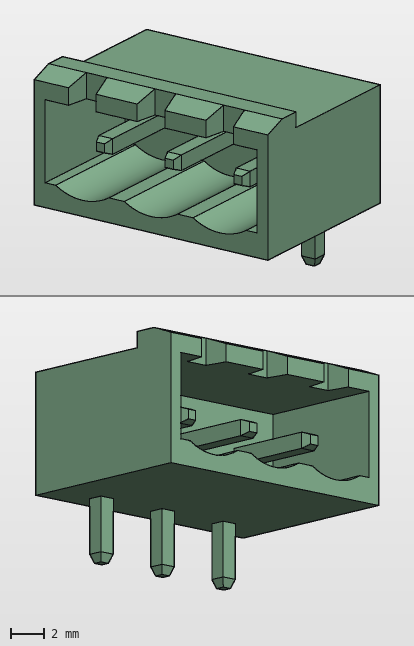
import cadquery as cq

width = 17.0
depth = 12.0
rear_height = 7.6
lip_height = 8.6
lip_depth = 3.03
bevel_depth = 1.53
bevel_drop = 0.56

pitch = 5.0
contact_count = 3
contact_xs = [(i - (contact_count - 1) / 2) * pitch for i in range(contact_count)]

side_wall = 0.8
cavity_depth = 8.5
cavity_floor = 1.6
cavity_ceiling = 6.92
trough_width = 3.88
trough_depth = 0.56

notch_front_width = 2.0
notch_back_width = 1.51

pin_size = 1.0
tip_size = 0.6
tip_length = 0.56
pin_height = 3.82
pin_front = 1.94
tail_length = 4.0
tail_from_rear = 2.04


def make_housing():
    """Extruded side profile with a raised, bevelled front lip."""
    profile = [
        (0, 0),
        (depth, 0),
        (depth, rear_height),
        (lip_depth, rear_height),
        (lip_depth, lip_height),
        (bevel_depth, lip_height),
        (0, lip_height - bevel_drop),
    ]
    return cq.Workplane("YZ").polyline(profile).close().extrude(width / 2, both=True)


def make_cavity():
    """Rectangular opening whose floor has a circular-arc trough below each contact."""
    half_width = width / 2 - side_wall
    outline = cq.Workplane("XZ").moveTo(-half_width, cavity_ceiling).lineTo(-half_width, cavity_floor)
    for x in contact_xs:
        outline = outline.lineTo(x - trough_width / 2, cavity_floor).threePointArc(
            (x, cavity_floor - trough_depth), (x + trough_width / 2, cavity_floor)
        )
    outline = outline.lineTo(half_width, cavity_floor).lineTo(half_width, cavity_ceiling)
    return outline.close().extrude(-cavity_depth)


def make_notch(x):
    """Vertical notch, narrowing rearward, from the cavity ceiling through the lip."""
    plan = [
        (x - notch_front_width / 2, 0),
        (x + notch_front_width / 2, 0),
        (x + notch_back_width / 2, bevel_depth),
        (x - notch_back_width / 2, bevel_depth),
    ]
    notch = cq.Workplane("XY").workplane(offset=cavity_ceiling).polyline(plan).close()
    return notch.extrude(lip_height - cavity_ceiling)


def make_pin_leg(end, direction, length):
    """Square bar running back from its tapered tip at end, along direction."""
    plane = cq.Plane(origin=end, xDir=(1, 0, 0), normal=direction)
    tip = cq.Workplane(plane).rect(tip_size, tip_size)
    tip = tip.workplane(offset=tip_length).rect(pin_size, pin_size).loft()
    bar = cq.Workplane(plane).workplane(offset=tip_length).rect(pin_size, pin_size)
    return tip.union(bar.extrude(length - tip_length))


def make_pin(x):
    """Right-angle pin: a contact toward the open face and a tail below the housing."""
    tail_y = depth - tail_from_rear
    contact_length = tail_y + pin_size / 2 - pin_front
    tail_total = tail_length + pin_height + pin_size / 2
    contact = make_pin_leg((x, pin_front, pin_height), (0, 1, 0), contact_length)
    tail = make_pin_leg((x, tail_y, -tail_length), (0, 0, 1), tail_total)
    return contact.union(tail)


result = make_housing().cut(make_cavity())
for contact_x in contact_xs:
    result = result.cut(make_notch(contact_x))
for contact_x in contact_xs:
    result = result.union(make_pin(contact_x))